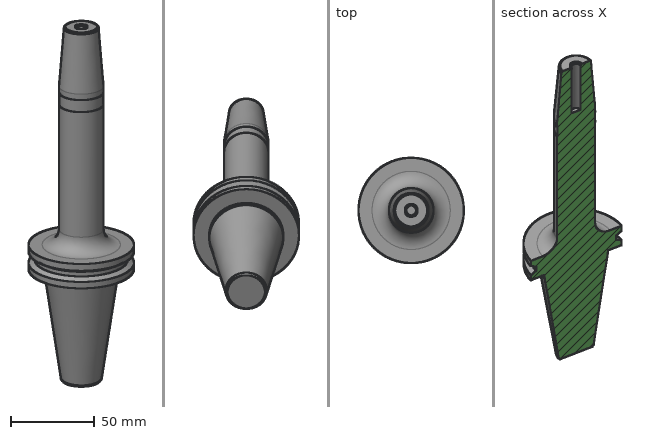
import cadquery as cq
import math

total_length = 228.5

gauge_height = 68.3
gauge_radius = 22.2
taper_slope = 7 / 48
tail_chamfer_height = 1.4
tail_chamfer_width = 1.1
tail_radius = gauge_radius - taper_slope * (gauge_height - tail_chamfer_height)

land_height = 1.1
neck_step = 0.2

flange_radius = 31.7
flange_bottom = 71.7
flange_top = 87.5
groove_center = 79.5
groove_floor_radius = 28.0
groove_floor_half_width = 1.48
groove_flank_angle = math.radians(30)
groove_rim_half_width = (
    groove_floor_half_width
    + (flange_radius - groove_floor_radius) * math.tan(groove_flank_angle)
)

body_radius = 13.5
blend_radius = 10.0

band_bottom = 178.4
band_top = 186.1
band_relief = 0.11

nose_length = 38.4
nose_angle = math.radians(4.5)
nose_chamfer = 1.0
nose_base = total_length - nose_length
nose_tip_radius = body_radius - (nose_length - nose_chamfer) * math.tan(nose_angle)

bore_radius = 3.0
bore_depth = 36.0
bore_chamfer = 1.0


def make_holder():
    """Revolve the outer half profile about Z."""
    land_top = gauge_height + land_height
    neck_radius = gauge_radius + neck_step
    band_radius = body_radius - band_relief
    blend_middle = (
        body_radius + blend_radius * (1 - math.cos(math.pi / 4)),
        flange_top + blend_radius * (1 - math.sin(math.pi / 4)),
    )
    profile = (
        cq.Workplane("XZ")
        .moveTo(0, 0)
        .lineTo(tail_radius - tail_chamfer_width, 0)
        .lineTo(tail_radius, tail_chamfer_height)
        .lineTo(gauge_radius, gauge_height)
        .lineTo(gauge_radius, land_top)
        .lineTo(neck_radius, land_top)
        .lineTo(neck_radius, flange_bottom)
        .lineTo(flange_radius, flange_bottom)
        .lineTo(flange_radius, groove_center - groove_rim_half_width)
        .lineTo(groove_floor_radius, groove_center - groove_floor_half_width)
        .lineTo(groove_floor_radius, groove_center + groove_floor_half_width)
        .lineTo(flange_radius, groove_center + groove_rim_half_width)
        .lineTo(flange_radius, flange_top)
        .lineTo(body_radius + blend_radius, flange_top)
        .threePointArc(blend_middle, (body_radius, flange_top + blend_radius))
        .lineTo(body_radius, band_bottom)
        .lineTo(band_radius, band_bottom)
        .lineTo(band_radius, band_top)
        .lineTo(body_radius, band_top)
        .lineTo(body_radius, nose_base)
        .lineTo(nose_tip_radius, total_length - nose_chamfer)
        .lineTo(nose_tip_radius - nose_chamfer, total_length)
        .lineTo(0, total_length)
        .close()
    )
    return profile.revolve(360, (0, 0, 0), (0, 1, 0))


def make_bore():
    """Revolve the half section of the bore about Z."""
    bore_bottom = total_length - bore_depth
    section = (
        cq.Workplane("XZ")
        .moveTo(0, bore_bottom)
        .lineTo(bore_radius, bore_bottom)
        .lineTo(bore_radius, total_length - bore_chamfer)
        .lineTo(bore_radius + bore_chamfer, total_length)
        .lineTo(0, total_length)
        .close()
    )
    return section.revolve(360, (0, 0, 0), (0, 1, 0))


result = make_holder().cut(make_bore())